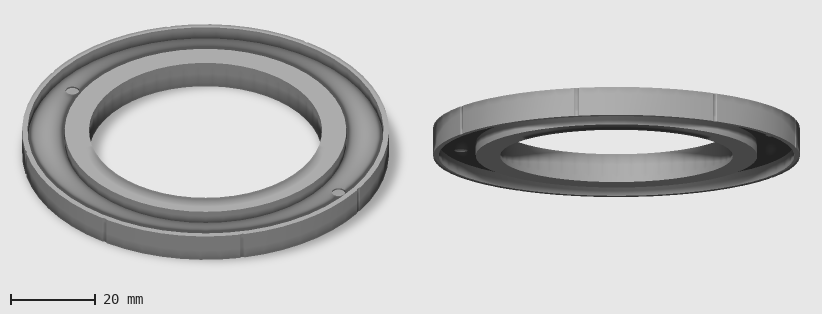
import cadquery as cq

OUTER_DIAMETER = 86.36
RIM_INNER_DIAMETER = 83.82
BOSS_DIAMETER = 66.294
BORE_DIAMETER = 54.864
HEIGHT = 6.731
WEB_THICKNESS = 0.381

HOLE_DIAMETER = 3.175
HOLE_COUNT = 2

GROOVE_COUNT = 8
GROOVE_WIDTH = 1.17
GROOVE_DEPTH = 0.254

OUTER_RADIUS = OUTER_DIAMETER / 2
CHANNEL_DEPTH = (HEIGHT - WEB_THICKNESS) / 2
HOLE_CIRCLE_RADIUS = (RIM_INNER_DIAMETER + BOSS_DIAMETER) / 4
GROOVE_RADIUS = (GROOVE_WIDTH**2 / 4 + GROOVE_DEPTH**2) / (2 * GROOVE_DEPTH)
GROOVE_CENTRE_RADIUS = OUTER_RADIUS - GROOVE_DEPTH + GROOVE_RADIUS


def ring(outer_diameter, inner_diameter, bottom, height):
    """Flat ring about the Z axis, standing on the given level."""
    plane = cq.Workplane("XY").workplane(offset=bottom)
    return plane.circle(outer_diameter / 2).circle(inner_diameter / 2).extrude(height)


def round_pattern(pattern_radius, count, cutter_radius):
    """Full-height round cutters spaced evenly about the Z axis."""
    centres = cq.Workplane("XY").polarArray(pattern_radius, 0, 360, count)
    return centres.circle(cutter_radius).extrude(HEIGHT)


body = ring(OUTER_DIAMETER, BORE_DIAMETER, 0, HEIGHT)

for channel_bottom in (0, HEIGHT - CHANNEL_DEPTH):
    body = body.cut(ring(RIM_INNER_DIAMETER, BOSS_DIAMETER, channel_bottom, CHANNEL_DEPTH))

holes = round_pattern(HOLE_CIRCLE_RADIUS, HOLE_COUNT, HOLE_DIAMETER / 2)

grooves = round_pattern(GROOVE_CENTRE_RADIUS, GROOVE_COUNT, GROOVE_RADIUS)

result = body.cut(holes).cut(grooves)